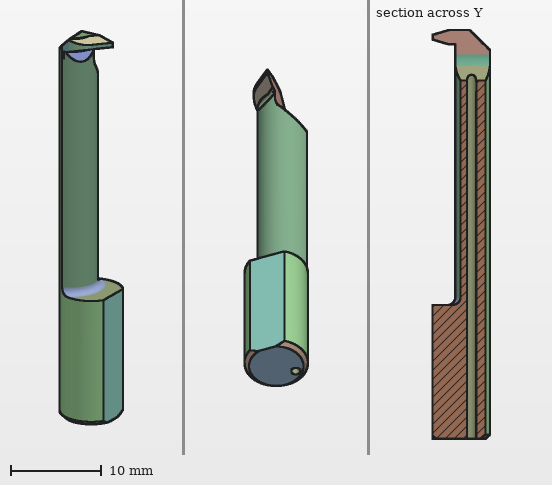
import math

import cadquery as cq

TOTAL_HEIGHT = 44.99
SHANK_RADIUS = 3.5
FLAT_X = 2.85
SHOULDER_Z = 14.75
BASE_CHAMFER = 0.5

NECK_RADIUS = 3.0
NECK_CENTRE_X = -2.65
NECK_FOOT_RADIUS = 0.8

COOLANT_DIAMETER = 1.0
COOLANT_X = -1.46
COOLANT_Y = 1.75

HEAD_THICKNESS = 1.6
TIP_X = 2.81
TIP_WIDTH = 0.55
HEAD_SIDE_Y = -2.85
HEAD_ARC_RADIUS = 3.0
HEAD_ARC_CENTRE_X = -1.07
TAPER_START_X = 1.05
SIDE_RELIEF_Z = 42.6

NOTCH_BOTTOM_Z = 42.15
NOTCH_DEPTH = 0.6
NOTCH_DIRECTION = 57.0
NOTCH_FILLET_RADIUS = 0.16

BEVEL_TOP_X = -1.25
BEVEL_ANGLE = 44.5
BEVEL_TWIST = 3.5
RAKE_FILLET_RADIUS = 2.0
RAKE_FILLET_START_Z = 42.28
RAKE_RAMP_ANGLE = 40.0

HEAD_BOTTOM_Z = TOTAL_HEIGHT - HEAD_THICKNESS
MARGIN = 5.0

HEAD_ARC_CENTRE_Y = HEAD_SIDE_Y + HEAD_ARC_RADIUS
TIP_DISTANCE = math.hypot(TIP_X - HEAD_ARC_CENTRE_X, HEAD_ARC_CENTRE_Y)
TIP_DIRECTION = math.atan2(-HEAD_ARC_CENTRE_Y, TIP_X - HEAD_ARC_CENTRE_X)
FLANK_ANGLE = math.pi / 2 + TIP_DIRECTION - math.acos(HEAD_ARC_RADIUS / TIP_DISTANCE)
FLANK_SIN = math.sin(FLANK_ANGLE)
FLANK_COS = math.cos(FLANK_ANGLE)


def make_bar():
    """Full-height round bar with a chamfered bottom edge."""
    bar = cq.Workplane("XY").circle(SHANK_RADIUS).extrude(TOTAL_HEIGHT)
    return bar.faces("<Z").chamfer(BASE_CHAMFER)


def make_shank_and_neck():
    """Bar cut to the clamping flat below the shoulder and to the neck cylinder above it."""
    foot_outer_radius = NECK_RADIUS + NECK_FOOT_RADIUS
    foot_top_z = SHOULDER_Z + NECK_FOOT_RADIUS
    foot_drop = NECK_FOOT_RADIUS * math.sqrt(0.5)
    envelope_profile = (
        cq.Workplane("XZ", origin=(NECK_CENTRE_X, 0, 0))
        .moveTo(0, SHOULDER_Z)
        .lineTo(foot_outer_radius, SHOULDER_Z)
        .threePointArc(
            (foot_outer_radius - foot_drop, foot_top_z - foot_drop),
            (NECK_RADIUS, foot_top_z),
        )
        .lineTo(NECK_RADIUS, TOTAL_HEIGHT)
        .lineTo(0, TOTAL_HEIGHT)
        .close()
    )
    neck_envelope = envelope_profile.revolve(360, (0, 0, 0), (0, 1, 0))
    shank_envelope = cq.Workplane("XY").box(
        FLAT_X + SHANK_RADIUS, 2 * SHANK_RADIUS, SHOULDER_Z, centered=(False, True, False)
    ).translate((-SHANK_RADIUS, 0, 0))
    return make_bar().intersect(shank_envelope.union(neck_envelope))


def head_outline():
    """Prism of the head outline: flat side, tangent arc, then the straight flank up to the tip."""
    arc_end = (
        HEAD_ARC_CENTRE_X + HEAD_ARC_RADIUS * FLANK_SIN,
        HEAD_ARC_CENTRE_Y - HEAD_ARC_RADIUS * FLANK_COS,
    )
    half_angle = FLANK_ANGLE / 2
    arc_middle = (
        HEAD_ARC_CENTRE_X + HEAD_ARC_RADIUS * math.sin(half_angle),
        HEAD_ARC_CENTRE_Y - HEAD_ARC_RADIUS * math.cos(half_angle),
    )
    return (
        cq.Workplane("XY", origin=(0, 0, HEAD_BOTTOM_Z))
        .moveTo(-SHANK_RADIUS, HEAD_SIDE_Y)
        .lineTo(HEAD_ARC_CENTRE_X, HEAD_SIDE_Y)
        .threePointArc(arc_middle, arc_end)
        .lineTo(TIP_X, 0)
        .lineTo(-SHANK_RADIUS, 0)
        .close()
        .extrude(HEAD_THICKNESS)
    )


def make_head():
    """Head whose top and bottom taper towards the flank, leaving a narrow land at the tip."""
    start = (TAPER_START_X - TIP_X) * FLANK_SIN
    taper_drop = (HEAD_THICKNESS - TIP_WIDTH) / 2
    flank_plane = cq.Plane(
        origin=(TIP_X, 0, HEAD_BOTTOM_Z),
        xDir=(FLANK_SIN, -FLANK_COS, 0),
        normal=(-FLANK_COS, -FLANK_SIN, 0),
    )
    side_profile = (
        cq.Workplane(flank_plane)
        .moveTo(start - 2 * SHANK_RADIUS, 0)
        .lineTo(start, 0)
        .lineTo(0, taper_drop)
        .lineTo(0, taper_drop + TIP_WIDTH)
        .lineTo(start, HEAD_THICKNESS)
        .lineTo(start - 2 * SHANK_RADIUS, HEAD_THICKNESS)
        .close()
        .extrude(2 * SHANK_RADIUS + MARGIN, both=True)
    )
    bar = cq.Workplane("XY").circle(SHANK_RADIUS).extrude(TOTAL_HEIGHT)
    return head_outline().intersect(side_profile).intersect(bar)


def side_relief_cut():
    """Flat that brings the neck in line with the side of the head."""
    return cq.Workplane("XY").box(
        2 * SHANK_RADIUS, MARGIN, MARGIN, centered=(True, False, False)
    ).translate((0, HEAD_SIDE_Y - MARGIN, SIDE_RELIEF_Z))


def notch_cut():
    """Wedge between the head underside and the facet, running square to the notch direction."""
    direction = math.radians(NOTCH_DIRECTION)
    notch_plane = cq.Plane(
        origin=(
            NECK_CENTRE_X + NECK_RADIUS * math.sin(direction),
            -NECK_RADIUS * math.cos(direction),
            NOTCH_BOTTOM_Z,
        ),
        xDir=(math.sin(direction), -math.cos(direction), 0),
        normal=(-math.cos(direction), -math.sin(direction), 0),
    )
    notch_height = HEAD_BOTTOM_Z - NOTCH_BOTTOM_Z
    wedge = (
        cq.Workplane(notch_plane)
        .moveTo(0, 0)
        .lineTo(-NOTCH_DEPTH, notch_height)
        .lineTo(MARGIN, notch_height)
        .lineTo(MARGIN, 0)
        .close()
        .extrude(MARGIN, both=True)
    )
    inner_corner = notch_plane.toWorldCoords((-NOTCH_DEPTH, notch_height, 0)).toTuple()
    inner_edge = wedge.edges(cq.selectors.NearestToPointSelector(inner_corner))
    return inner_edge.fillet(NOTCH_FILLET_RADIUS)


def rake_cut():
    """Clearance behind the rake face: vertical wall, fillet and straight ramp, along X."""
    ramp = math.radians(RAKE_RAMP_ANGLE)
    fillet_end = (
        RAKE_FILLET_RADIUS * (1 - math.cos(ramp)),
        RAKE_FILLET_START_Z - RAKE_FILLET_RADIUS * math.sin(ramp),
    )
    fillet_middle = (
        RAKE_FILLET_RADIUS * (1 - math.cos(ramp / 2)),
        RAKE_FILLET_START_Z - RAKE_FILLET_RADIUS * math.sin(ramp / 2),
    )
    ramp_end_z = fillet_end[1] - (MARGIN - fillet_end[0]) / math.tan(ramp)
    return (
        cq.Workplane("YZ")
        .moveTo(0, TOTAL_HEIGHT + MARGIN)
        .lineTo(0, RAKE_FILLET_START_Z)
        .threePointArc(fillet_middle, fillet_end)
        .lineTo(MARGIN, ramp_end_z)
        .lineTo(MARGIN, TOTAL_HEIGHT + MARGIN)
        .close()
        .extrude(SHANK_RADIUS + MARGIN, both=True)
    )


def bevel_cut():
    """Sloping cut on the -X side of the head, turned slightly about Z."""
    drop = MARGIN * math.tan(math.radians(BEVEL_ANGLE))
    wedge = (
        cq.Workplane("XZ")
        .moveTo(0, 0)
        .lineTo(-MARGIN, 0)
        .lineTo(-MARGIN, -drop)
        .close()
        .extrude(SHANK_RADIUS + MARGIN, both=True)
    )
    return wedge.rotate((0, 0, 0), (0, 0, 1), BEVEL_TWIST).translate((BEVEL_TOP_X, 0, TOTAL_HEIGHT))


def coolant_hole():
    """Cutter for the straight coolant hole, over the full height."""
    return (
        cq.Workplane("XY")
        .center(COOLANT_X, COOLANT_Y)
        .circle(COOLANT_DIAMETER / 2)
        .extrude(TOTAL_HEIGHT)
    )


result = (
    make_shank_and_neck()
    .union(make_head())
    .cut(side_relief_cut())
    .cut(notch_cut())
    .cut(rake_cut())
    .cut(bevel_cut())
    .cut(coolant_hole())
)